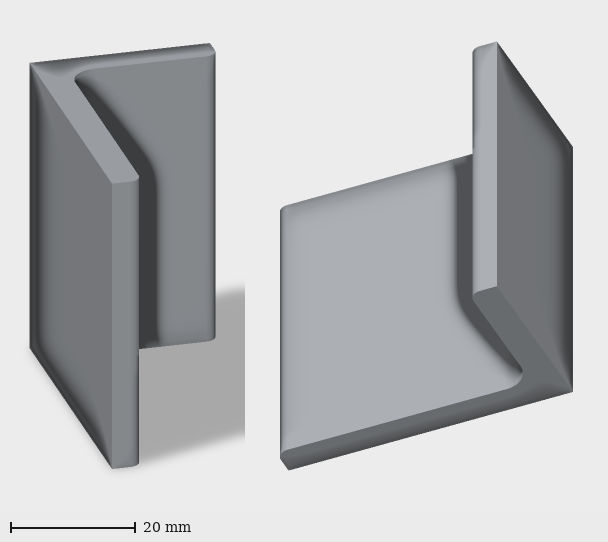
import cadquery as cq

long_leg = 50.0
short_leg = 30.0
thickness = 5.0
length = 50.0
root_radius = 4.5
toe_radius = 2.0


def angle_blank():
    """Sharp-cornered L-section with its heel at the origin."""
    return (
        cq.Workplane("XY")
        .moveTo(0, 0)
        .lineTo(long_leg, 0)
        .lineTo(long_leg, thickness)
        .lineTo(thickness, thickness)
        .lineTo(thickness, short_leg)
        .lineTo(0, short_leg)
        .close()
        .extrude(length)
    )


def round_vertical_edge(body, x, y, radius):
    """Fillet the vertical edge nearest to the given corner of the section."""
    corner = (x, y, length / 2)
    return body.edges("|Z").edges(cq.NearestToPointSelector(corner)).fillet(radius)


result = angle_blank()
result = round_vertical_edge(result, thickness, thickness, root_radius)
result = round_vertical_edge(result, long_leg, thickness, toe_radius)
result = round_vertical_edge(result, thickness, short_leg, toe_radius)